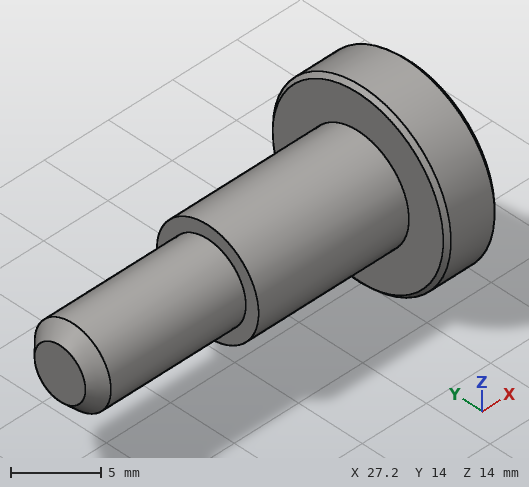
import cadquery as cq

tip_diameter = 6.0
body_diameter = 8.0
head_diameter = 14.0

total_length = 27.2
tip_length = 11.5
head_length = 4.0
body_length = total_length - tip_length - head_length

tip_chamfer = 1.0
head_chamfer = 0.3


def cylinder_along_x(start_x, length, diameter):
    """Solid cylinder on the X axis, running from start_x towards +X."""
    return cq.Workplane("YZ", origin=(start_x, 0, 0)).circle(diameter / 2).extrude(length)


def make_tip(start_x):
    """Front pin with a chamfered free end."""
    return cylinder_along_x(start_x, tip_length, tip_diameter).faces("<X").chamfer(tip_chamfer)


def make_body(start_x):
    """Plain middle shank."""
    return cylinder_along_x(start_x, body_length, body_diameter)


def make_head(start_x):
    """Head disc with both rims chamfered."""
    return cylinder_along_x(start_x, head_length, head_diameter).edges("%CIRCLE").chamfer(head_chamfer)


tip = make_tip(0)
body = make_body(tip_length)
head = make_head(tip_length + body_length)
result = tip.union(body).union(head)